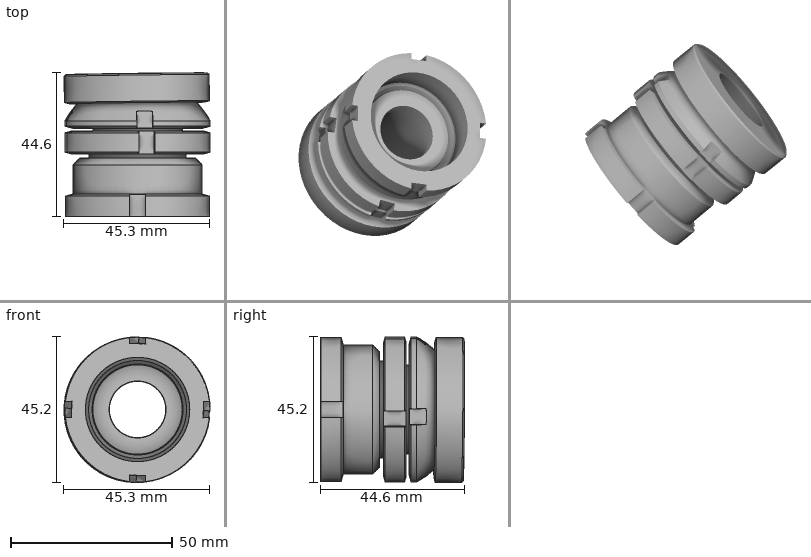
import cadquery as cq
import math


RIM_RADIUS = 45.0 / 2
RIM_CHAMFER_SLOPE = math.tan(math.radians(15))
SLOT_COUNT = 4
SLOT_WIDTH = 5.0
NUT_THICKNESS = 7.02

THREAD_RADIUS = 15.1
CORE_RADIUS = 13.85
STUD_BORE_RADIUS = 8.75
STUD_END_Y = 10.4

FLANGE_TOP_Y = 7.02
BARREL_RADIUS = 40.0 / 2
BARREL_TOP_Y = 18.15
BARREL_CHAMFER = 2.1
ENTRY_BORE_RADIUS = 16.18
ENTRY_BORE_DEPTH = 10.0
COUNTERSINK_RADIUS = 15.2
PILOT_BORE_RADIUS = 14.1
SLEEVE_SLOT_FLOOR = 20.4

NUT_BOTTOM_Y = 19.5
NUT_TOP_Y = NUT_BOTTOM_Y + NUT_THICKNESS
NUT_CHAMFER_WIDTH = 1.95
NUT_SLOT_FLOOR = 20.25
NUT_TURN = 7.6

DOME_BOTTOM_Y = 27.35
DOME_CHAMFER_WIDTH = 2.5
SPHERE_RADIUS = 25.45
SPHERE_CENTRE_Y = 17.7
DOME_SLOT_FLOOR = 20.5
STUD_TURN = 6.0

WASHER_BOTTOM_Y = 35.25
WASHER_THICKNESS = 9.05
WASHER_TOP_Y = WASHER_BOTTOM_Y + WASHER_THICKNESS
WASHER_BORE_RADIUS = 10.4
WASHER_TOP_CHAMFER = 0.55
WASHER_BOTTOM_CHAMFER_WIDTH = 1.55
WASHER_TILT_ABOUT_X = -0.35
WASHER_TILT_ABOUT_Z = 0.7


def sphere_height(radius):
    """Height along Y of the sphere at a distance from the axis."""
    return SPHERE_CENTRE_Y + math.sqrt(SPHERE_RADIUS**2 - radius**2)


def sphere_radius_at(height):
    """Distance of the sphere from the axis at a height along Y."""
    return math.sqrt(SPHERE_RADIUS**2 - (height - SPHERE_CENTRE_Y) ** 2)


def sphere_midpoint(start_radius, end_radius):
    """A point of the sphere between two radii, for drawing its arc."""
    radius = (start_radius + end_radius) / 2
    return radius, sphere_height(radius)


def revolve_about_y(profile):
    return profile.close().revolve(360, (0, 0, 0), (0, 1, 0))


def cut_rim_slots(body, floor, bottom, top, turn=0):
    """Cut equal slots into a rim, each from a flat floor outwards; turn is in degrees."""
    slot = cq.Workplane("XY").box(
        SLOT_WIDTH, top - bottom, RIM_RADIUS, centered=(True, False, False)
    ).translate((0, bottom, floor))
    for index in range(SLOT_COUNT):
        angle = turn + index * 360 / SLOT_COUNT
        body = body.cut(slot.rotate((0, 0, 0), (0, 1, 0), angle))
    return body


def make_sleeve():
    """Flanged sleeve with a wide entry bore and a pilot bore with a 45 degree countersink."""
    flange_chamfer = (RIM_RADIUS - BARREL_RADIUS) * RIM_CHAMFER_SLOPE
    profile = (
        cq.Workplane("XY")
        .moveTo(ENTRY_BORE_RADIUS, 0)
        .lineTo(RIM_RADIUS, 0)
        .lineTo(RIM_RADIUS, FLANGE_TOP_Y - flange_chamfer)
        .lineTo(BARREL_RADIUS, FLANGE_TOP_Y)
        .lineTo(BARREL_RADIUS, BARREL_TOP_Y - BARREL_CHAMFER)
        .lineTo(BARREL_RADIUS - BARREL_CHAMFER, BARREL_TOP_Y)
        .lineTo(PILOT_BORE_RADIUS, BARREL_TOP_Y)
        .lineTo(PILOT_BORE_RADIUS, ENTRY_BORE_DEPTH + COUNTERSINK_RADIUS - PILOT_BORE_RADIUS)
        .lineTo(COUNTERSINK_RADIUS, ENTRY_BORE_DEPTH)
        .lineTo(ENTRY_BORE_RADIUS, ENTRY_BORE_DEPTH)
    )
    return cut_rim_slots(revolve_about_y(profile), SLEEVE_SLOT_FLOOR, 0, FLANGE_TOP_Y)


def make_nut():
    """Slotted lock nut on the stud thread, chamfered on both faces."""
    chamfer_height = NUT_CHAMFER_WIDTH * RIM_CHAMFER_SLOPE
    face_radius = RIM_RADIUS - NUT_CHAMFER_WIDTH
    profile = (
        cq.Workplane("XY")
        .moveTo(THREAD_RADIUS, NUT_BOTTOM_Y)
        .lineTo(face_radius, NUT_BOTTOM_Y)
        .lineTo(RIM_RADIUS, NUT_BOTTOM_Y + chamfer_height)
        .lineTo(RIM_RADIUS, NUT_TOP_Y - chamfer_height)
        .lineTo(face_radius, NUT_TOP_Y)
        .lineTo(THREAD_RADIUS, NUT_TOP_Y)
    )
    return cut_rim_slots(revolve_about_y(profile), NUT_SLOT_FLOOR, NUT_BOTTOM_Y, NUT_TOP_Y, NUT_TURN)


def make_domed_stud():
    """Hollow stud: pilot, thread resting on the sleeve, relief and slotted spherical head."""
    chamfer_height = DOME_CHAMFER_WIDTH * RIM_CHAMFER_SLOPE
    profile = (
        cq.Workplane("XY")
        .moveTo(STUD_BORE_RADIUS, STUD_END_Y)
        .lineTo(CORE_RADIUS, STUD_END_Y)
        .lineTo(CORE_RADIUS, BARREL_TOP_Y)
        .lineTo(THREAD_RADIUS, BARREL_TOP_Y)
        .lineTo(THREAD_RADIUS, NUT_TOP_Y)
        .lineTo(CORE_RADIUS, NUT_TOP_Y)
        .lineTo(CORE_RADIUS, DOME_BOTTOM_Y)
        .lineTo(RIM_RADIUS - DOME_CHAMFER_WIDTH, DOME_BOTTOM_Y)
        .lineTo(RIM_RADIUS, DOME_BOTTOM_Y + chamfer_height)
        .lineTo(RIM_RADIUS, sphere_height(RIM_RADIUS))
        .threePointArc(
            sphere_midpoint(RIM_RADIUS, STUD_BORE_RADIUS),
            (STUD_BORE_RADIUS, sphere_height(STUD_BORE_RADIUS)),
        )
    )
    slot_top = sphere_height(DOME_SLOT_FLOOR)
    return cut_rim_slots(
        revolve_about_y(profile), DOME_SLOT_FLOOR, DOME_BOTTOM_Y, slot_top, STUD_TURN
    )


def make_washer():
    """Washer with a concave seat on the dome, tilted about the centre of the sphere."""
    seat_radius = sphere_radius_at(WASHER_BOTTOM_Y)
    profile = (
        cq.Workplane("XY")
        .moveTo(seat_radius, WASHER_BOTTOM_Y)
        .lineTo(RIM_RADIUS - WASHER_BOTTOM_CHAMFER_WIDTH, WASHER_BOTTOM_Y)
        .lineTo(RIM_RADIUS, WASHER_BOTTOM_Y + WASHER_BOTTOM_CHAMFER_WIDTH * RIM_CHAMFER_SLOPE)
        .lineTo(RIM_RADIUS, WASHER_TOP_Y - WASHER_TOP_CHAMFER)
        .lineTo(RIM_RADIUS - WASHER_TOP_CHAMFER, WASHER_TOP_Y)
        .lineTo(WASHER_BORE_RADIUS, WASHER_TOP_Y)
        .lineTo(WASHER_BORE_RADIUS, sphere_height(WASHER_BORE_RADIUS))
        .threePointArc(
            sphere_midpoint(WASHER_BORE_RADIUS, seat_radius), (seat_radius, WASHER_BOTTOM_Y)
        )
    )
    centre = (0, SPHERE_CENTRE_Y, 0)
    washer = revolve_about_y(profile)
    washer = washer.rotate(centre, (1, SPHERE_CENTRE_Y, 0), WASHER_TILT_ABOUT_X)
    return washer.rotate(centre, (0, SPHERE_CENTRE_Y, 1), WASHER_TILT_ABOUT_Z)


sleeve = make_sleeve()
nut = make_nut()
domed_stud = make_domed_stud()
washer = make_washer()

result = cq.Compound.makeCompound([sleeve.val(), nut.val(), domed_stud.val(), washer.val()])